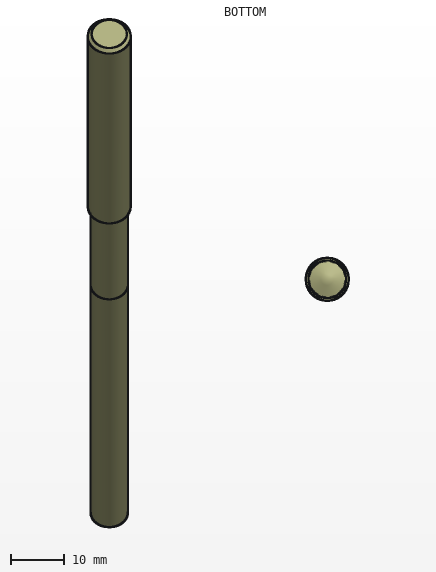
import cadquery as cq
import math

TOTAL_LENGTH = 148.3
SHANK_LENGTH = 53.0
NECK_LENGTH = 24.0

SHANK_DIAMETER = 8.0
CUTTER_DIAMETER = 7.0
POINT_ANGLE = 140.0
SHANK_CHAMFER = 0.7

shank_radius = SHANK_DIAMETER / 2
cutter_radius = CUTTER_DIAMETER / 2
point_height = cutter_radius / math.tan(math.radians(POINT_ANGLE / 2))
step_z = TOTAL_LENGTH - SHANK_LENGTH
joint_z = step_z - NECK_LENGTH


def turned_body(profile):
    """Revolve (radius, height) points about Z."""
    outline = [(-radius, height) for radius, height in profile]
    return cq.Workplane("YZ").polyline(outline).close().revolve(360, (0, 0, 0), (0, 1, 0))


def make_shank():
    """Stepped round shank with a chamfered top and a neck at the cutter's diameter."""
    return turned_body([
        (0, joint_z),
        (cutter_radius, joint_z),
        (cutter_radius, step_z),
        (shank_radius, step_z),
        (shank_radius, TOTAL_LENGTH - SHANK_CHAMFER),
        (shank_radius - SHANK_CHAMFER, TOTAL_LENGTH),
        (0, TOTAL_LENGTH),
    ])


def make_cutter():
    """Plain cylindrical cutting body ending in a conical point."""
    return turned_body([
        (0, 0),
        (cutter_radius, point_height),
        (cutter_radius, joint_z),
        (0, joint_z),
    ])


shank = make_shank()
cutter = make_cutter()

result = cq.Compound.makeCompound([shank.val(), cutter.val()])